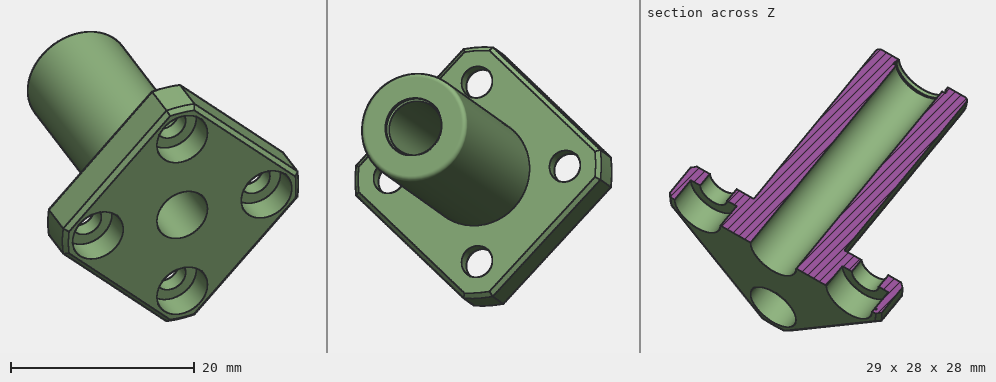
import cadquery as cq
import math

sleeve_diameter = 12.0
total_length = 29.0
sleeve_end_radius = 0.5

bore_diameter = 6.0
mouth_diameter = 6.4
mouth_depth = 0.5
undercut_diameter = 6.8
undercut_width = 0.3

flange_thickness = 5.0
flange_across_flats = 22.0
flange_corner_diameter = 28.0
flange_chamfer = 0.5

screw_count = 4
screw_circle_diameter = 20.0
screw_hole_diameter = 3.5
counterbore_diameter = 6.0
counterbore_depth = 3.1

flange_front = total_length - flange_thickness


def cylinder_along_x(diameter, start, length, y=0.0, z=0.0):
    """Solid cylinder parallel to X, starting at X = start."""
    return cq.Workplane("YZ", origin=(start, y, z)).circle(diameter / 2).extrude(length)


def make_sleeve():
    sleeve = cylinder_along_x(sleeve_diameter, 0.0, total_length)
    return sleeve.faces("<X").edges().fillet(sleeve_end_radius)


def make_flange():
    square = (
        cq.Workplane("YZ", origin=(flange_front, 0, 0))
        .rect(flange_across_flats, flange_across_flats)
        .extrude(flange_thickness)
        .rotate((0, 0, 0), (1, 0, 0), 45)
    )
    disc = cylinder_along_x(flange_corner_diameter, flange_front, flange_thickness)
    return square.intersect(disc).faces("<X or >X").edges().chamfer(flange_chamfer)


def make_bore():
    bore = cylinder_along_x(bore_diameter, 0.0, total_length)
    mouth = cylinder_along_x(mouth_diameter, 0.0, mouth_depth)
    undercut = cylinder_along_x(undercut_diameter, mouth_depth, undercut_width)
    return bore.union(mouth).union(undercut)


def make_screw_hole(angle):
    y = screw_circle_diameter / 2 * math.cos(angle)
    z = screw_circle_diameter / 2 * math.sin(angle)
    hole = cylinder_along_x(screw_hole_diameter, flange_front, flange_thickness, y, z)
    counterbore_start = total_length - counterbore_depth
    counterbore = cylinder_along_x(counterbore_diameter, counterbore_start, counterbore_depth, y, z)
    return hole.union(counterbore)


result = make_sleeve().union(make_flange()).cut(make_bore())
for index in range(screw_count):
    result = result.cut(make_screw_hole(2 * math.pi * index / screw_count))